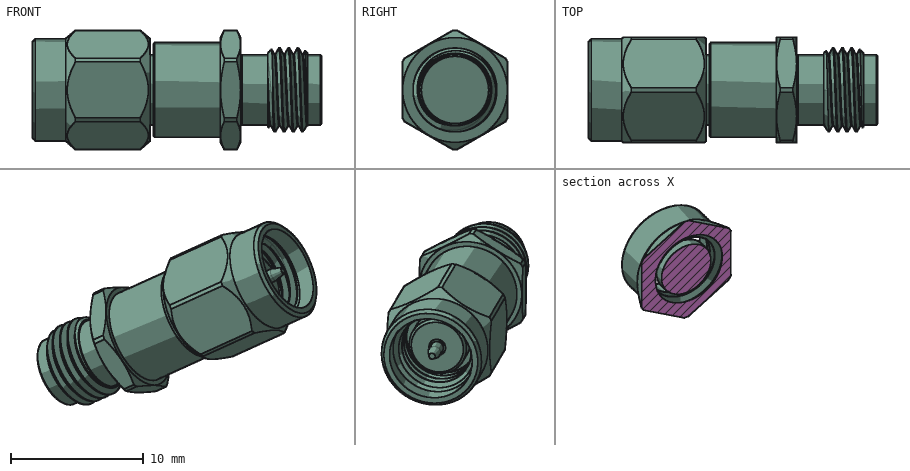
import cadquery as cq
import math


hex_flat_width = 7.95
hex_corner_radius = 4.5

nut_end = 8.89
collar_length = 2.51
collar_radius = 3.87
collar_chamfer = 0.25
nut_bevel_radius = collar_radius
nut_bevel_length = 0.75

mouth_radius = 3.19
mouth_depth = 1.27
bore_radius = 2.7
bore_depth = 3.93

boss_face = 2.34
boss_radius = 2.2
boss_chamfer = 0.2
pin_radius = 0.48
pin_shoulder_radius = 0.63
pin_shoulder_length = 0.07
pin_taper_start = 1.27
pin_tip = 0.44
pin_tip_radius = 0.25

body_start = 9.13
body_radius = 3.58
body_chamfer = 0.13
flange_start = 14.2
flange_end = 15.72
flange_bevel_radius = 3.95
flange_bevel_length = 0.28
neck_radius = 2.66
undercut_radius = 2.65
undercut_length = 0.13
nose_end = 21.85
nose_chamfer = 0.13

thread_pitch = 0.7
thread_crest_radius = 3.17
thread_root_radius = 2.7
thread_flat = thread_pitch / 8
thread_overlap = 0.02

bore_groove_start = 0.98
bore_groove_turns = 4
outer_ridge_start = 16.9
outer_ridge_turns = 7
outer_thread_start = 17.75
outer_thread_end = 20.77
outer_thread_end_radius = 2.77


def revolve_x(points):
    """Turn a closed (x, radius) outline about the X axis."""
    return cq.Workplane("XZ").polyline(points).close().revolve(360, (0, 0, 0), (1, 0, 0))


def beveled_hexagon(start, end, bevel_radius, bevel_length):
    """Hexagonal prism with corners at +Z and -Z, rounded off and beveled at both ends."""
    prism = (
        cq.Workplane("YZ", origin=(start, 0, 0))
        .polygon(6, hex_flat_width / math.cos(math.pi / 6))
        .extrude(end - start)
        .rotate((0, 0, 0), (1, 0, 0), 90)
    )
    envelope = revolve_x([
        (start, 0),
        (start, bevel_radius),
        (start + bevel_length, hex_corner_radius),
        (end - bevel_length, hex_corner_radius),
        (end, bevel_radius),
        (end, 0),
    ])
    return prism.intersect(envelope)


def thread_ridge(first_crest, turns):
    """Right-handed trapezoidal ridge along X; its first crest starts below the axis (-Z)."""
    half_crest = thread_flat / 2
    half_root = (thread_pitch - thread_flat) / 2
    flank_slope = (half_root - half_crest) / (thread_crest_radius - thread_root_radius)
    base_radius = thread_root_radius - thread_overlap
    half_base = half_root + flank_slope * thread_overlap
    section = [
        (base_radius, -half_base),
        (thread_crest_radius, -half_crest),
        (thread_crest_radius, half_crest),
        (base_radius, half_base),
    ]
    length = turns * thread_pitch

    helices = [
        cq.Wire.makeHelix(thread_pitch, length, radius).translate(cq.Vector(0, 0, offset))
        for radius, offset in section
    ]
    faces = []
    for index, helix in enumerate(helices):
        faces.append(cq.Face.makeRuledSurface(helix, helices[index - 1]))
    for height in (0, length):
        corners = [cq.Vector(radius, 0, offset + height) for radius, offset in section]
        faces.append(cq.Face.makeFromWires(cq.Wire.makePolygon(corners, close=True)))
    ridge = cq.Workplane(cq.Solid.makeSolid(cq.Shell.makeShell(faces)))
    return ridge.rotate((0, 0, 0), (0, 1, 0), 90).translate((first_crest, 0, 0))


collar = revolve_x([
    (0, 0),
    (0, collar_radius - collar_chamfer),
    (collar_chamfer, collar_radius),
    (collar_length, collar_radius),
    (collar_length, 0),
])
nut = collar.union(beveled_hexagon(collar_length, nut_end, nut_bevel_radius, nut_bevel_length))

bore = revolve_x([
    (0, 0),
    (0, mouth_radius),
    (mouth_depth, mouth_radius),
    (mouth_depth + mouth_radius - bore_radius, bore_radius),
    (bore_depth, bore_radius),
    (bore_depth, 0),
])
bore_groove = thread_ridge(bore_groove_start, bore_groove_turns)
nut = nut.cut(bore).cut(bore_groove)

boss = revolve_x([
    (bore_depth, 0),
    (bore_depth, boss_radius),
    (boss_face + boss_chamfer, boss_radius),
    (boss_face, boss_radius - boss_chamfer),
    (boss_face, pin_shoulder_radius),
    (boss_face - pin_shoulder_length, pin_shoulder_radius),
    (boss_face - pin_shoulder_length, pin_radius),
    (pin_taper_start, pin_radius),
    (pin_tip, pin_tip_radius),
    (pin_tip, 0),
])

barrel = revolve_x([
    (nut_end, 0),
    (nut_end, neck_radius),
    (body_start, neck_radius),
    (body_start, body_radius - body_chamfer),
    (body_start + body_chamfer, body_radius),
    (flange_start, body_radius),
    (flange_start, undercut_radius),
    (flange_end + undercut_length, undercut_radius),
    (flange_end + undercut_length, neck_radius),
    (nose_end - nose_chamfer, neck_radius),
    (nose_end, neck_radius - nose_chamfer),
    (nose_end, 0),
])
flange = beveled_hexagon(flange_start, flange_end, flange_bevel_radius, flange_bevel_length)

envelope_radius = thread_crest_radius + thread_overlap
thread_bevel = envelope_radius - outer_thread_end_radius
thread_envelope = revolve_x([
    (outer_thread_start, 0),
    (outer_thread_start, outer_thread_end_radius),
    (outer_thread_start + thread_bevel, envelope_radius),
    (outer_thread_end - thread_bevel, envelope_radius),
    (outer_thread_end, outer_thread_end_radius),
    (outer_thread_end, 0),
])
thread_core = (
    cq.Workplane("YZ", origin=(outer_thread_start, 0, 0))
    .circle(thread_root_radius)
    .extrude(outer_thread_end - outer_thread_start)
)
outer_ridge = thread_ridge(outer_ridge_start, outer_ridge_turns)
outer_thread = thread_core.union(outer_ridge.intersect(thread_envelope))

result = nut.union(boss).union(barrel).union(flange).union(outer_thread)